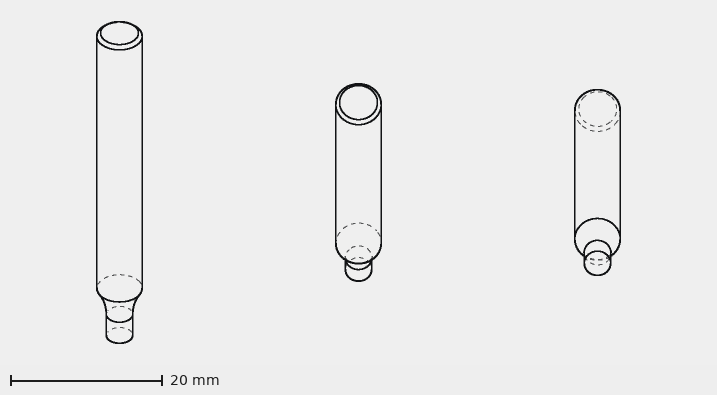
import cadquery as cq
import math

overall_length = 50.0
shank_diameter = 6.0
tip_diameter = 3.5
tip_length = 3.5
neck_arc_radius = 8.0
top_chamfer = 0.5

shank_radius = shank_diameter / 2
tip_radius = tip_diameter / 2
neck_step = shank_radius - tip_radius
neck_angle = math.acos(1 - neck_step / neck_arc_radius)


def neck_point(angle):
    """Point (radius, height) on the neck arc, which leaves the tip tangentially."""
    radius = tip_radius + neck_arc_radius * (1 - math.cos(angle))
    height = tip_length + neck_arc_radius * math.sin(angle)
    return radius, height


def make_shank():
    """Round shank with a chamfered top and a concave neck narrowing to the tip."""
    return (
        cq.Workplane("XZ")
        .moveTo(0, tip_length)
        .lineTo(tip_radius, tip_length)
        .threePointArc(neck_point(neck_angle / 2), neck_point(neck_angle))
        .lineTo(shank_radius, overall_length - top_chamfer)
        .lineTo(shank_radius - top_chamfer, overall_length)
        .lineTo(0, overall_length)
        .close()
        .revolve(360, (0, 0, 0), (0, 1, 0))
    )


def make_tip():
    """Plain cylindrical tip that meets the lower end face of the shank."""
    return cq.Workplane("XY").circle(tip_radius).extrude(tip_length)


shank = make_shank()
tip = make_tip()
result = cq.Compound.makeCompound([shank.val(), tip.val()])